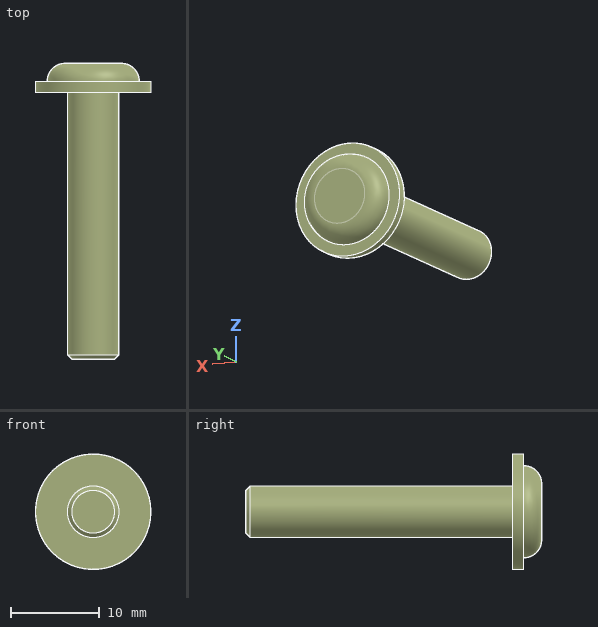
import cadquery as cq
import math

shank_diameter = 5.8
shank_length = 30.0
tip_chamfer = 0.5

flange_diameter = 13.0
flange_thickness = 1.25

head_height = 3.3
dome_base_diameter = 10.4

shank_radius = shank_diameter / 2
flange_radius = flange_diameter / 2
dome_base_radius = dome_base_diameter / 2

dome_round = head_height - flange_thickness
crown_radius = dome_base_radius - dome_round
dome_mid_offset = dome_round * math.sqrt(0.5)


def half_profile():
    """Closed half section in the XY plane, from the tip up to the crown."""
    return (
        cq.Workplane("XY")
        .moveTo(0, -shank_length)
        .lineTo(shank_radius - tip_chamfer, -shank_length)
        .lineTo(shank_radius, -shank_length + tip_chamfer)
        .lineTo(shank_radius, 0)
        .lineTo(flange_radius, 0)
        .lineTo(flange_radius, flange_thickness)
        .lineTo(dome_base_radius, flange_thickness)
        .threePointArc(
            (crown_radius + dome_mid_offset, flange_thickness + dome_mid_offset),
            (crown_radius, head_height),
        )
        .lineTo(0, head_height)
        .close()
    )


result = half_profile().revolve(360, (0, 0, 0), (0, 1, 0))